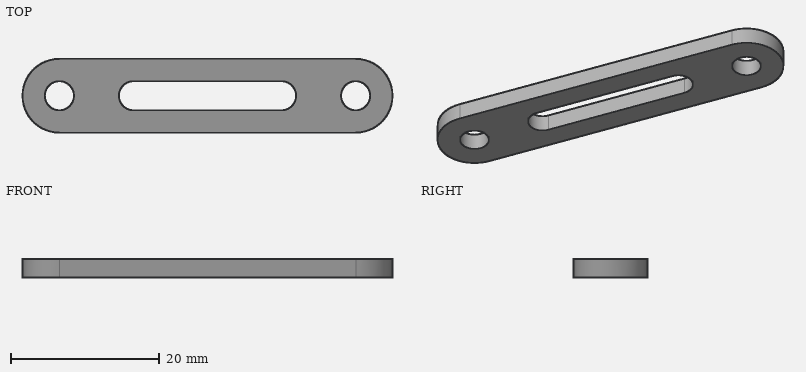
import cadquery as cq

hole_spacing = 40.0
bar_width = 10.0
thickness = 2.5
hole_diameter = 3.9
slot_width = hole_diameter
slot_travel = 20.0

bar_length = hole_spacing + bar_width
slot_length = slot_travel + slot_width


def make_bar():
    """Flat bar with fully rounded ends, resting on Z = 0."""
    return cq.Workplane("XY").slot2D(bar_length, bar_width).extrude(thickness)


def cut_end_holes(body):
    """Through hole concentric with each rounded end."""
    hole_centres = [(-hole_spacing / 2, 0), (hole_spacing / 2, 0)]
    return body.faces(">Z").workplane().pushPoints(hole_centres).hole(hole_diameter)


def cut_centre_slot(body):
    """Round-ended through slot along the middle of the bar."""
    return body.faces(">Z").workplane().slot2D(slot_length, slot_width).cutThruAll()


bar = make_bar()
bar = cut_end_holes(bar)
result = cut_centre_slot(bar)